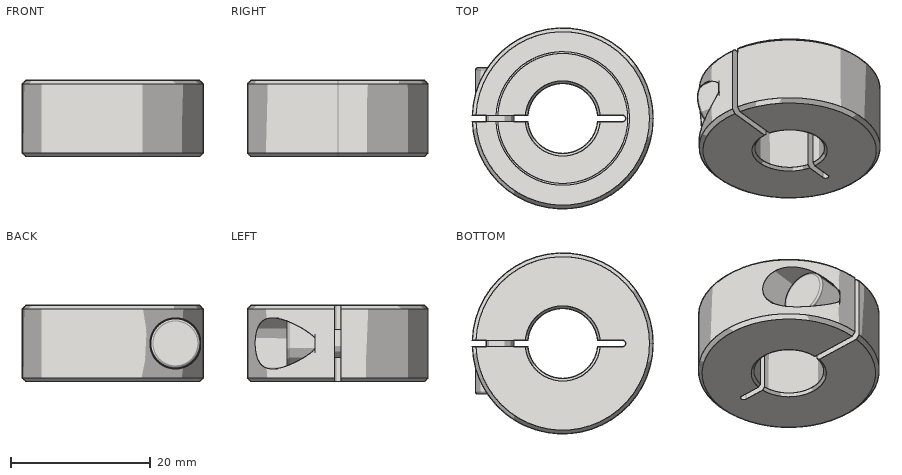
import cadquery as cq

outer_diameter = 26.0
width = 11.0
bore_diameter = 10.0
outer_chamfer = 0.55
bore_chamfer = 0.4

groove_center_radius = 9.46
groove_section_radius = 0.13

slot_width = 0.9
slot_end_x = 9.02

screw_x = -9.0
shank_diameter = 4.03
head_diameter = 7.07
counterbore_diameter = 7.33
head_seat_y = 3.25
head_length = 4.03
head_fillet = 0.3
shank_length = 8.32

top_z = width / 2


def full_width_cylinder(diameter, center_x=0):
    """Cylinder parallel to Z that spans the width of the collar."""
    return (
        cq.Workplane("XY", origin=(center_x, 0, -top_z))
        .circle(diameter / 2)
        .extrude(width)
    )


def cylinder_along_y(diameter, start_y, length):
    """Cylinder on the screw axis, running from start_y towards +Y."""
    return (
        cq.Workplane("XZ", origin=(screw_x, start_y, 0))
        .circle(diameter / 2)
        .extrude(-length)
    )


def make_ring():
    """Plain ring with all four circular edges chamfered."""
    ring = full_width_cylinder(outer_diameter).faces("|Z").edges().chamfer(outer_chamfer)
    ring = ring.cut(full_width_cylinder(bore_diameter))
    bore_edges = ring.faces("|Z").edges(cq.selectors.RadiusNthSelector(0))
    return bore_edges.chamfer(bore_chamfer)


def make_face_groove():
    """Torus that cuts the groove; its lower half lies inside the ring."""
    return (
        cq.Workplane("XZ")
        .center(groove_center_radius, top_z)
        .circle(groove_section_radius)
        .revolve(360, (-groove_center_radius, 0, 0), (-groove_center_radius, 1, 0))
    )


def make_slot():
    """Cutter for the slot, from beyond the -X side to its round end."""
    end_center_x = slot_end_x - slot_width / 2
    straight_length = end_center_x + outer_diameter
    straight = cq.Workplane("XY").box(straight_length, slot_width, width).translate(
        (end_center_x - straight_length / 2, 0, 0)
    )
    round_end = full_width_cylinder(slot_width, end_center_x)
    return straight.union(round_end)


def make_collar():
    counterbore = cylinder_along_y(counterbore_diameter, head_seat_y, outer_diameter)
    shank_hole = cylinder_along_y(shank_diameter, head_seat_y - shank_length, shank_length)
    return (
        make_ring()
        .cut(make_face_groove())
        .cut(make_slot())
        .cut(counterbore)
        .cut(shank_hole)
    )


def make_screw():
    head = cylinder_along_y(head_diameter, head_seat_y, head_length)
    head = head.faces(">Y").edges().fillet(head_fillet)
    shank = cylinder_along_y(shank_diameter, head_seat_y - shank_length, shank_length)
    return head.union(shank)


collar = make_collar()
screw = make_screw()

result = cq.Compound.makeCompound([collar.val(), screw.val()])